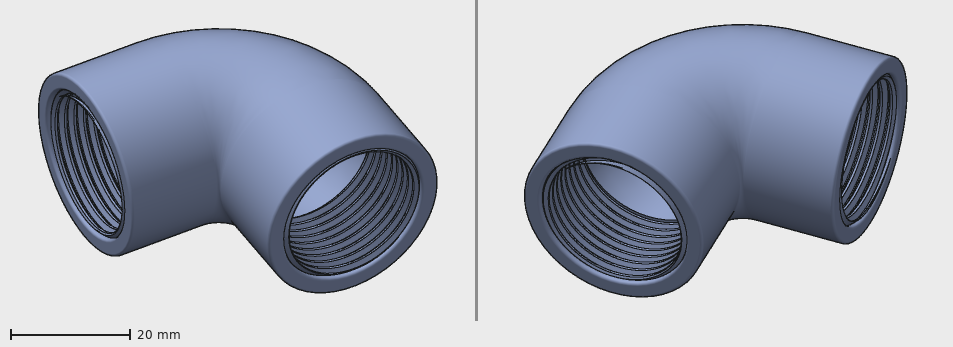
import cadquery as cq
import math

outer_diameter = 32.5
overall_length = 49.25
bend_radius = 16.75
edge_fillet = 0.5

thread_major_diameter = 26.44
thread_pitch = 1.814
start_angle = -90

ridge_height = 5 / 8 * math.sqrt(3) / 2 * thread_pitch
crest_width = thread_pitch / 4
base_width = 7 / 8 * thread_pitch

outer_radius = outer_diameter / 2
major_radius = thread_major_diameter / 2
minor_radius = major_radius - ridge_height
socket_length = overall_length - outer_radius - bend_radius

lead_in_turns = 1
ridge_turns = math.ceil(socket_length / thread_pitch) + 2 * lead_in_turns
envelope_clearance = 1.0
envelope_radius = major_radius + envelope_clearance


def on_second_socket(shape):
    """Turn a copy of a first-socket feature to the socket that opens toward +X."""
    turned = shape.rotate((0, 0, 0), (1, 0, 0), 180).rotate((0, 0, 0), (0, 0, 1), -90)
    return turned.translate((bend_radius, bend_radius, 0))


def make_bend(radius):
    """Quarter torus from the first socket's inner end to the second's."""
    return cq.Workplane("XZ").circle(radius).revolve(90, (bend_radius, 0, 0), (bend_radius, -1, 0))


def make_socket():
    """Round socket with a plain bore, rounded inside and outside at the mouth."""
    tube = cq.Workplane("XZ").circle(outer_radius).circle(major_radius).extrude(socket_length)
    return tube.faces("<Y").edges().fillet(edge_fillet)


def make_elbow():
    bend = make_bend(outer_radius).cut(make_bend(minor_radius))
    socket = make_socket()
    return bend.union(socket).union(on_second_socket(socket))


def make_ridge():
    """Helical ridge about Z, based on the bore wall and longer than the socket at both ends."""
    helix = cq.Wire.makeHelix(thread_pitch, ridge_turns * thread_pitch, major_radius)
    profile = cq.Workplane("XZ").polyline([
        (major_radius, -base_width / 2),
        (minor_radius, -crest_width / 2),
        (minor_radius, crest_width / 2),
        (major_radius, base_width / 2),
    ]).close()
    ridge = profile.sweep(cq.Workplane(helix), isFrenet=True)
    ridge = ridge.rotate((0, 0, 0), (0, 0, 1), start_angle)
    return ridge.translate((0, 0, -lead_in_turns * thread_pitch))


def make_trim_envelope():
    """Space the ridge keeps: flat at both ends, with a 45 degree cone on its outside at the mouth."""
    half_section = cq.Workplane("XZ").polyline([
        (0, 0),
        (minor_radius, 0),
        (envelope_radius, envelope_radius - minor_radius),
        (envelope_radius, socket_length),
        (0, socket_length),
    ]).close()
    return half_section.revolve(360, (0, 0, 0), (0, 1, 0))


def make_thread():
    """Ridge trimmed to the socket and laid along -Y, with its coned end at the mouth."""
    thread = make_ridge().intersect(make_trim_envelope())
    return thread.rotate((0, 0, 0), (1, 0, 0), -90).translate((0, -socket_length, 0))


elbow = make_elbow()
first_thread = make_thread()
second_thread = on_second_socket(first_thread)

result = cq.Compound.makeCompound([elbow.val(), *first_thread.vals(), *second_thread.vals()])